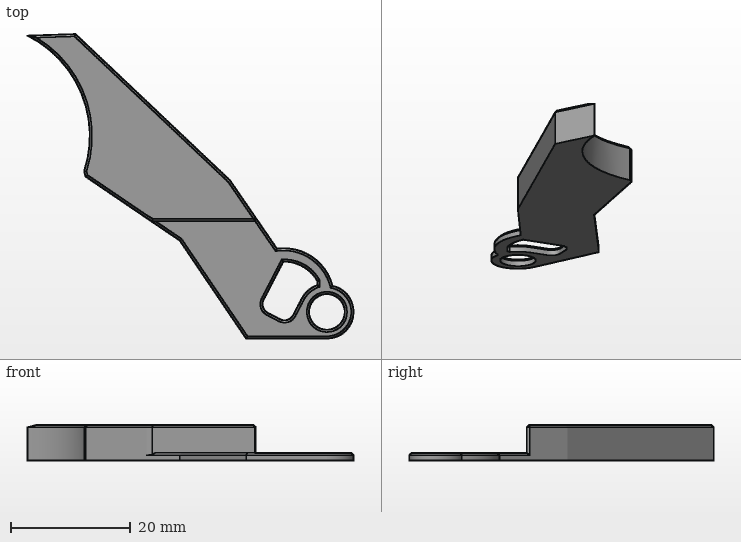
import cadquery as cq
import math


plate_thickness = 1.3
blade_height = 5.97
bevel = 0.4

hole_radius = 5.94 / 2
ring_wall = 1.5
ring_radius = hole_radius + ring_wall

overall_length_x = 54.6
overall_length_y = 50.99
tip_x = ring_radius - overall_length_x
top_y = overall_length_y - ring_radius

tip = (tip_x, 46.25)
spine_start = (-42.1, top_y)
spine_knee = (-16.22, 22.02)
heel_lower = (-40.4, 22.65)
heel_upper = (-40.65, 23.55)
edge_middle = (-39.72, 30.4)

guard = (-8.38, 10.6)
handle_knee = (-24.64, 11.95)
pommel_corner = (-13.52, -ring_radius)

step_y = 15.2
step_trim = 0.5
step_left_inset = 0.2
step_right_inset = 0.5

arch_middle = (-2.6, 9.3)
arch_end_x = 0.95

opening_angle = math.radians(62.5)
opening_width = 5.55
opening_ring_gap = 0.3
opening_floor = 4.7
opening_corner_radius = 3.3 / 2
opening_top_left = (-7.3, 8.4)
opening_arch_middle = (-3.86, 7.49)
opening_arch_end = (-1.58, 5.13)


def on_circle(radius, angle):
    """Point on a circle concentric with the finger ring."""
    return (radius * math.cos(angle), radius * math.sin(angle))


def x_on_line(start, end, y):
    """X where the line through two points reaches a given Y."""
    return start[0] + (end[0] - start[0]) * (y - start[1]) / (end[1] - start[1])


def bevel_top(body):
    return body.faces(">Z").chamfer(bevel)


def opening_point(across, along):
    """Point in the opening's own frame: across away from the ring, along up its sides."""
    side_x = math.cos(opening_angle)
    side_y = math.sin(opening_angle)
    return (along * side_x - across * side_y, along * side_y + across * side_x)


def blade_and_heel(sketch):
    """Continue an outline from the lower heel, round the cutting edge, to the spine knee."""
    return (
        sketch.lineTo(*heel_upper)
        .threePointArc(edge_middle, tip)
        .lineTo(*spine_start)
        .lineTo(*spine_knee)
    )


def make_plate():
    arch_end = on_circle(ring_radius, math.acos(arch_end_x / ring_radius))
    outline = blade_and_heel(cq.Workplane("XY").moveTo(*heel_lower))
    outline = (
        outline.lineTo(*guard)
        .threePointArc(arch_middle, arch_end)
        .threePointArc(on_circle(ring_radius, 0), on_circle(ring_radius, -math.pi / 2))
        .lineTo(*pommel_corner)
        .lineTo(*handle_knee)
        .close()
    )
    return outline.extrude(plate_thickness)


def make_blade():
    trim_y = step_y + step_trim
    left_x = x_on_line(heel_lower, handle_knee, step_y)
    right_x = x_on_line(spine_knee, guard, step_y)
    outline = blade_and_heel(cq.Workplane("XY").moveTo(*heel_lower))
    outline = (
        outline.lineTo(x_on_line(spine_knee, guard, trim_y), trim_y)
        .lineTo(right_x - step_right_inset, step_y)
        .lineTo(left_x + step_left_inset, step_y)
        .lineTo(x_on_line(heel_lower, handle_knee, trim_y), trim_y)
        .close()
    )
    return bevel_top(outline.extrude(blade_height))


def make_opening():
    """Through cutter that follows the ring, then runs down to a rounded floor."""
    near_side = ring_radius + opening_ring_gap
    floor_right = opening_point(near_side, -opening_floor)
    floor_left = opening_point(near_side + opening_width, -opening_floor)
    ring_leave = math.pi / 2 + opening_angle
    ring_meet = math.acos(opening_arch_end[0] / near_side)
    ring_middle = (ring_leave + ring_meet) / 2
    cutter = (
        cq.Workplane("XY")
        .moveTo(*opening_top_left)
        .threePointArc(opening_arch_middle, opening_arch_end)
        .lineTo(*on_circle(near_side, ring_meet))
        .threePointArc(on_circle(near_side, ring_middle), on_circle(near_side, ring_leave))
        .lineTo(*floor_right)
        .lineTo(*floor_left)
        .close()
        .extrude(plate_thickness)
    )
    for corner in (floor_right, floor_left):
        nearest = cq.selectors.NearestToPointSelector((*corner, plate_thickness / 2))
        cutter = cutter.edges("|Z").edges(nearest).fillet(opening_corner_radius)
    return cutter


ring_hole = cq.Workplane("XY").circle(hole_radius).extrude(plate_thickness)
plate = bevel_top(make_plate().cut(ring_hole).cut(make_opening()))
result = plate.union(make_blade())